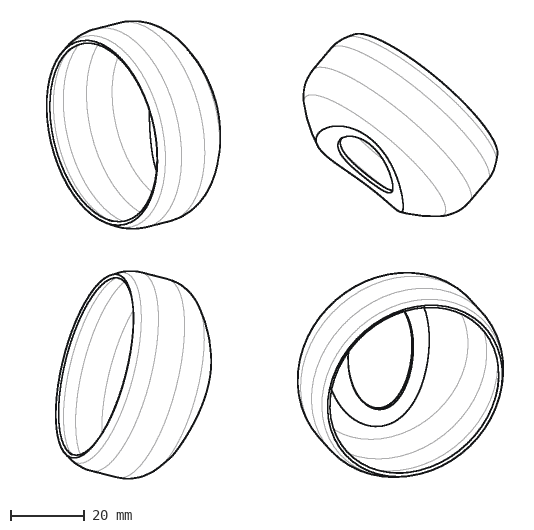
import cadquery as cq
import math

wall = 1.0
outer_radius = 27.75
side_start = 6.4
side_end = 14.15
rim_height = 1.85
rim_curve_radius = 9.45
shoulder_radius = 10.0
dome_radius = 35.8

saddle_radius = 30.5
saddle_bottom = 23.85

opening_width = 19.1
opening_height = 32.65

rim_angle = math.asin((side_start - rim_height) / rim_curve_radius)
rim_curve_center = outer_radius - rim_curve_radius
rim_cone_start = rim_curve_center + rim_curve_radius * math.cos(rim_angle)
rim_radius = rim_cone_start - rim_height * math.tan(rim_angle)

shoulder_center = outer_radius - shoulder_radius
shoulder_angle = math.acos(shoulder_center / (dome_radius - shoulder_radius))
dome_center = side_end - shoulder_center * math.tan(shoulder_angle)


def arc_point(center_r, center_y, radius, angle):
    """Point (r, y) on a profile arc; the angle is measured from the radial direction."""
    return (center_r + radius * math.cos(angle), center_y + radius * math.sin(angle))


def cup(inset):
    """Solid of revolution whose surface lies the inset distance inside the outer surface."""
    rim_curve = rim_curve_radius - inset
    shoulder = shoulder_radius - inset
    dome = dome_radius - inset
    rim_points = [(rim_radius, 0)]
    if inset > 0:
        rim_points.append((rim_radius - inset * math.cos(rim_angle), inset * math.sin(rim_angle)))

    profile = (
        cq.Workplane("ZY")
        .moveTo(0, 0)
        .polyline(rim_points, includeCurrent=True)
        .lineTo(*arc_point(rim_curve_center, side_start, rim_curve, -rim_angle))
        .threePointArc(
            arc_point(rim_curve_center, side_start, rim_curve, -rim_angle / 2),
            (outer_radius - inset, side_start),
        )
        .lineTo(outer_radius - inset, side_end)
        .threePointArc(
            arc_point(shoulder_center, side_end, shoulder, shoulder_angle / 2),
            arc_point(shoulder_center, side_end, shoulder, shoulder_angle),
        )
        .threePointArc(
            arc_point(0, dome_center, dome, (shoulder_angle + math.pi / 2) / 2),
            (0, dome_center + dome),
        )
        .close()
    )
    return profile.revolve(360, (0, 0, 0), (0, 1, 0))


def saddle(offset):
    """Cylinder along Z that hollows the back, grown by the offset."""
    return (
        cq.Workplane("XY")
        .center(0, saddle_bottom + saddle_radius)
        .circle(saddle_radius + offset)
        .extrude(outer_radius, both=True)
    )


def opening():
    """Oval prism through the saddle along Y."""
    return (
        cq.Workplane("XZ")
        .ellipse(opening_width / 2, opening_height / 2)
        .extrude(-(dome_center + dome_radius))
    )


body = cup(0).cut(saddle(0))
cavity = cup(wall).cut(saddle(wall))
result = body.cut(cavity).cut(opening())